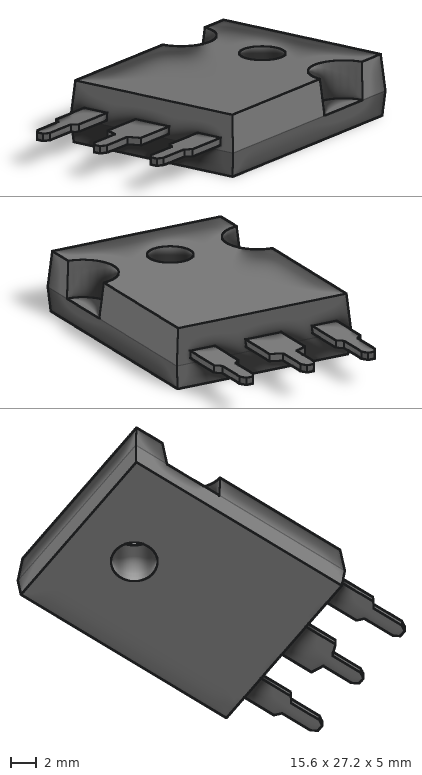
import cadquery as cq
import math

body_width = 15.6
body_length = 20.0
body_height = 5.0
parting_height = 2.0
draft_angle = 5.0
upper_height = body_height - parting_height

hole_diameter = 3.6
hole_to_rear_edge = 5.5
hole_y = body_length / 2 - hole_to_rear_edge
notch_floor_radius = 2.5
notch_top_radius = notch_floor_radius + upper_height * math.tan(math.radians(draft_angle))

lead_pitch = 5.45
lead_thickness = 0.6
lead_bottom = 2.4
outer_root_width = 2.2
center_root_width = 3.2
leg_width = 1.2
tip_width = 0.6
lead_length = 7.2
root_length = 3.6
shoulder_length = 0.4
tip_length = 0.5
embedded_length = 1.0

front_y = -body_length / 2
root_end_y = front_y - root_length
shoulder_end_y = root_end_y - shoulder_length
tip_end_y = front_y - lead_length
tip_start_y = tip_end_y + tip_length


def make_drafted_block(height):
    """Block that tapers inward from the parting plane; a negative height goes downward."""
    return (
        cq.Workplane("XY", origin=(0, 0, parting_height))
        .rect(body_width, body_length)
        .extrude(height, taper=draft_angle)
    )


def make_notch_cutter(side):
    """Cone centred on one long side, from the parting plane up to the top face."""
    cone = cq.Solid.makeCone(
        notch_floor_radius,
        notch_top_radius,
        upper_height,
        pnt=cq.Vector(side * body_width / 2, hole_y, parting_height),
        dir=cq.Vector(0, 0, 1),
    )
    return cq.Workplane(obj=cone)


def make_housing():
    housing = make_drafted_block(upper_height).union(make_drafted_block(-parting_height))
    hole = cq.Workplane("XY").center(0, hole_y).circle(hole_diameter / 2).extrude(body_height)
    housing = housing.cut(hole)
    for side in (-1, 1):
        housing = housing.cut(make_notch_cutter(side))
    return housing


def make_lead(x_position, root_width):
    """Flat lead whose root reaches into the housing."""
    right_side = [
        (root_width / 2, front_y + embedded_length),
        (root_width / 2, root_end_y),
        (leg_width / 2, shoulder_end_y),
        (leg_width / 2, tip_start_y),
        (tip_width / 2, tip_end_y),
    ]
    left_side = [(-x, y) for x, y in reversed(right_side)]
    return (
        cq.Workplane("XY", origin=(x_position, 0, lead_bottom))
        .polyline(right_side + left_side)
        .close()
        .extrude(lead_thickness)
    )


center_lead = make_lead(0, center_root_width)
outer_leads = [make_lead(side * lead_pitch, outer_root_width) for side in (-1, 1)]

housing = make_housing()
for lead in [center_lead, *outer_leads]:
    housing = housing.cut(lead)

result = cq.Compound.makeCompound(
    [housing.val(), center_lead.val(), *[lead.val() for lead in outer_leads]]
)